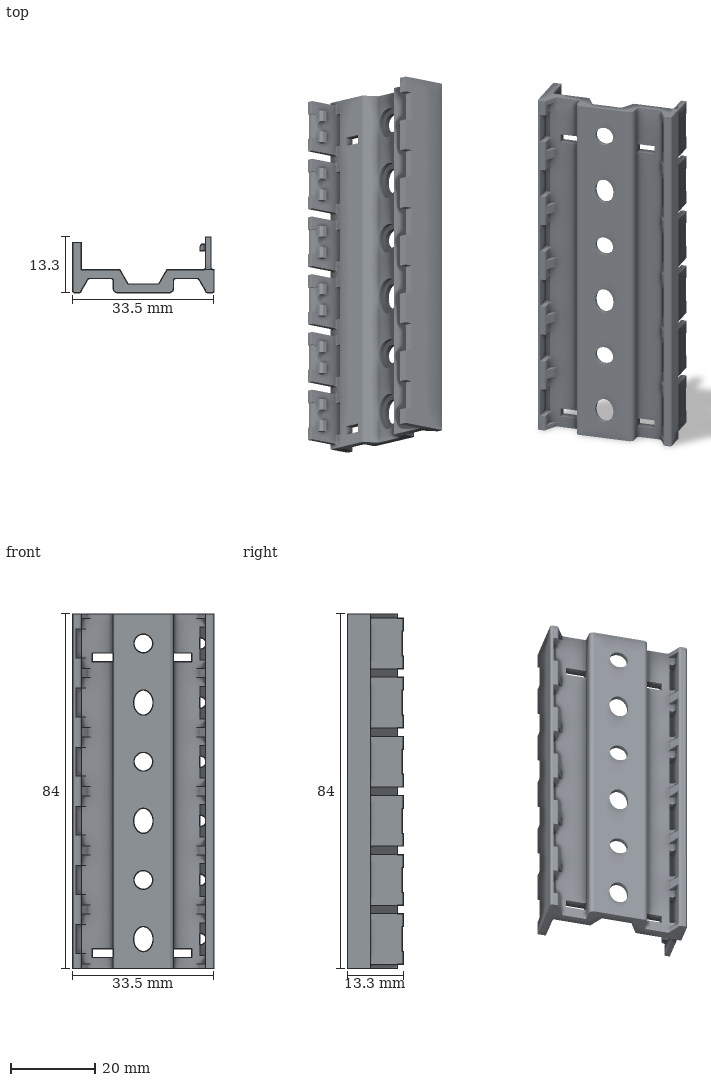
import cadquery as cq
import math

length = 84.0
width = 33.5
floor_front = 3.4
floor_back = 5.5
half_width = width / 2

left_wall_height = 11.9
foot_edge_radius = 0.5
wall_inside = 14.7

channel_half_width = 7.1
channel_floor = 2.1
groove_bottom_half_width = 3.6
groove_side_angle = 30.0
channel_edge_radius = 1.0
channel_root_radius = 0.5

bay_count = 6
pitch = length / bay_count

gusset_thickness = 2.2
gusset_reach = 1.7
gusset_root_radius = 0.6

corner_radius = 1.0

notch_length = 6.8
notch_bottom = 10.0
recess_depth = 4.2
recess_outer_skin = 0.75

tab_length = 12.0
tab_thickness = 1.35
tab_height = 13.3
tab_root_radius = 0.5
hook_length = 7.7
hook_reach = 1.35
hook_bottom = 9.9
hook_top = 11.5
hook_chamfer_height = 0.6
hook_chamfer_reach = 0.4
hook_hole_diameter = 2.6
hook_hole_offset = 0.2
lead_in_length = 5.9
lead_in_drop = 0.25
lead_in_depth = 0.4

round_hole_diameter = 4.4
oval_hole_width = 4.5
oval_hole_length = 5.9
hole_depth = 1.1
relief_rim = 1.3

slot_height = 2.0
slot_left_end = -12.1
slot_right_end = 11.4
slot_offset = 3.7

pick_margin = 0.01

bay_centers = [(bay + 0.5) * pitch for bay in range(bay_count)]


def box(x_range, y_range, z_range):
    """Axis-aligned block between two limits on each axis."""
    (x0, x1), (y0, y1), (z0, z1) = x_range, y_range, z_range
    return cq.Workplane("XY").box(x1 - x0, y1 - y0, z1 - z0, centered=False).translate((x0, y0, z0))


def centered_span(center, size):
    return (center - size / 2, center + size / 2)


def clip(z_range):
    """The part of a Z range that lies on the rail."""
    return (max(z_range[0], 0), min(z_range[1], length))


def prism(points, z_range):
    """XY outline extruded between two Z limits."""
    z0, z1 = z_range
    return cq.Workplane("XY").workplane(offset=z0).polyline(points).close().extrude(z1 - z0)


def edges_at(x, y):
    """Selector for the lengthwise edges through one point of the cross section."""
    return cq.selectors.BoxSelector(
        (x - pick_margin, y - pick_margin, -pick_margin),
        (x + pick_margin, y + pick_margin, length + pick_margin),
    )


def make_rail():
    groove_depth = floor_back - channel_floor
    groove_top_half_width = groove_bottom_half_width + groove_depth * math.tan(math.radians(groove_side_angle))
    outline = [
        (-half_width, 0),
        (-wall_inside, 0),
        (-wall_inside, floor_front),
        (-channel_half_width, floor_front),
        (-channel_half_width, 0),
        (channel_half_width, 0),
        (channel_half_width, floor_front),
        (wall_inside, floor_front),
        (wall_inside, 0),
        (half_width, 0),
        (half_width, floor_back),
        (groove_top_half_width, floor_back),
        (groove_bottom_half_width, channel_floor),
        (-groove_bottom_half_width, channel_floor),
        (-groove_top_half_width, floor_back),
        (-wall_inside, floor_back),
        (-wall_inside, left_wall_height),
        (-half_width, left_wall_height),
    ]
    rail = prism(outline, (0, length))
    for side in (-1, 1):
        for x in (half_width, wall_inside):
            rail = rail.edges(edges_at(side * x, 0)).fillet(foot_edge_radius)
        rail = rail.edges(edges_at(side * channel_half_width, 0)).fillet(channel_edge_radius)
        rail = rail.edges(edges_at(side * channel_half_width, floor_front)).fillet(channel_root_radius)
    return rail


def make_gusset(z_range):
    """Right-hand gusset whose sloping face runs smoothly into the floor."""
    slope_height = floor_front - foot_edge_radius
    slope_length = math.hypot(gusset_reach, slope_height)
    slope_x = gusset_reach / slope_length
    slope_y = slope_height / slope_length
    toe_x = wall_inside - gusset_reach
    tangent = gusset_root_radius * math.tan((math.pi - math.acos(-slope_x)) / 2)
    center = (toe_x - tangent, floor_front - gusset_root_radius)
    toe_direction = (toe_x - center[0], floor_front - center[1])
    toe_distance = math.hypot(*toe_direction)
    arc_middle = tuple(c + gusset_root_radius * d / toe_distance for c, d in zip(center, toe_direction))
    z0, z1 = z_range
    return (
        cq.Workplane("XY")
        .workplane(offset=z0)
        .moveTo(wall_inside, foot_edge_radius)
        .lineTo(toe_x + tangent * slope_x, floor_front - tangent * slope_y)
        .threePointArc(arc_middle, (toe_x - tangent, floor_front))
        .lineTo(wall_inside, floor_front)
        .close()
        .extrude(z1 - z0)
    )


def make_corner(z_range):
    """Right-hand concave corner between floor and foot."""
    center = (wall_inside - corner_radius, floor_front - corner_radius)
    diagonal = corner_radius / math.sqrt(2)
    z0, z1 = z_range
    return (
        cq.Workplane("XY")
        .workplane(offset=z0)
        .moveTo(center[0], floor_front)
        .threePointArc((center[0] + diagonal, center[1] + diagonal), (wall_inside, center[1]))
        .lineTo(wall_inside, floor_front)
        .close()
        .extrude(z1 - z0)
    )


def add_corner_supports(rail):
    for boundary in range(bay_count + 1):
        z = boundary * pitch
        gusset = make_gusset(clip(centered_span(z, gusset_thickness)))
        left_corner = make_corner(clip(centered_span(z, pitch - notch_length))).mirror("YZ")
        right_corner = make_corner(clip(centered_span(z, pitch - hook_length)))
        rail = rail.union(gusset).union(gusset.mirror("YZ")).union(left_corner).union(right_corner)
    return rail


def cut_left_bay(rail, z):
    z_range = centered_span(z, notch_length)
    notch = box((-half_width, -wall_inside), (notch_bottom, left_wall_height), z_range)
    recess = box((recess_outer_skin - half_width, -wall_inside), (0, recess_depth), z_range)
    return rail.cut(notch).cut(recess)


def add_tab(rail, z):
    tab = box((wall_inside, wall_inside + tab_thickness), (floor_back, tab_height), centered_span(z, tab_length))
    return rail.union(tab)


def round_tab_roots(rail):
    roots = cq.selectors.BoxSelector(
        (wall_inside - pick_margin, floor_back - pick_margin, pick_margin),
        (wall_inside + tab_thickness + pick_margin, floor_back + pick_margin, length - pick_margin),
        boundingbox=True,
    )
    return rail.edges(roots).fillet(tab_root_radius)


def add_hook(rail, z):
    tip = wall_inside - hook_reach
    hook_profile = [
        (wall_inside, hook_bottom),
        (tip, hook_bottom),
        (tip, hook_top - hook_chamfer_height),
        (tip + hook_chamfer_reach, hook_top),
        (wall_inside, hook_top),
    ]
    hook_range = centered_span(z, hook_length)
    rail = rail.union(prism(hook_profile, hook_range))

    rail = rail.cut(box((tip, wall_inside), (0, floor_back + tab_root_radius), hook_range))

    hole_sketch = cq.Workplane("XZ", origin=(tip + hook_hole_offset, hook_bottom, z)).circle(hook_hole_diameter / 2)
    rail = rail.cut(hole_sketch.extrude(hook_bottom - hook_top))

    lead_in_end = tab_height - lead_in_drop
    lead_in = [
        (wall_inside, hook_top),
        (wall_inside + lead_in_depth, lead_in_end),
        (wall_inside + tab_thickness, lead_in_end),
        (wall_inside + tab_thickness, tab_height),
        (wall_inside, tab_height),
    ]
    return rail.cut(prism(lead_in, centered_span(z, lead_in_length)))


def elliptic_cutter(x_size, z_size, y_start, y_end, z):
    sketch = cq.Workplane("XZ", origin=(0, y_start, z)).ellipse(x_size / 2, z_size / 2)
    return sketch.extrude(y_start - y_end)


def cut_fixing_hole(rail, bay, z):
    """Round or oval hole through the channel floor, opened wider from the back."""
    hole_length = round_hole_diameter if bay % 2 else oval_hole_length
    hole_width = round_hole_diameter if bay % 2 else oval_hole_width
    hole = elliptic_cutter(hole_width, hole_length, 0, channel_floor, z)
    relief = elliptic_cutter(hole_width + 2 * relief_rim, hole_length + 2 * relief_rim, hole_depth, channel_floor, z)
    return rail.cut(hole).cut(relief)


def cut_cross_slots(rail):
    for bay_edge in (0, bay_count - 1):
        z_range = centered_span(bay_edge * pitch + slot_offset, slot_height)
        for x_range in ((slot_left_end, -channel_half_width), (channel_half_width, slot_right_end)):
            rail = rail.cut(box(x_range, (0, floor_back), z_range))
    return rail


result = make_rail()
result = add_corner_supports(result)
for bay_center in bay_centers:
    result = cut_left_bay(result, bay_center)
    result = add_tab(result, bay_center)
result = round_tab_roots(result)
for bay, bay_center in enumerate(bay_centers):
    result = add_hook(result, bay_center)
    result = cut_fixing_hole(result, bay, bay_center)
result = cut_cross_slots(result)